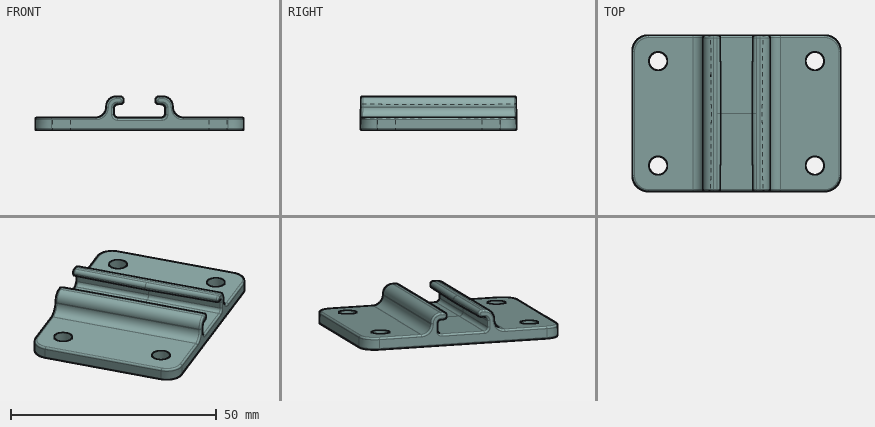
import cadquery as cq
import math

length = 50.8
width = 38.1
plate_thickness = 3.175
corner_radius = 4.0
draft_angle = 1.0
edge_round = 0.5

hole_diameter = 4.4
hole_spacing_x = 38.1
hole_spacing_y = 25.4

height = 8.3
hook_outer_half = 8.15
root_radius = 2.5
bend_radius = 2.5

channel_half = 6.18
channel_floor = plate_thickness
floor_radius = 0.95
underside_radius = 0.9
nose_half = 3.78
nose_thickness = 2.0
flare_angle = 0.5

half_width = width / 2
root_x = hook_outer_half + root_radius
draft_inset = height * math.tan(math.radians(draft_angle))
flare = half_width * math.tan(math.radians(flare_angle))
diagonal = math.sqrt(0.5)
tolerance = 1e-4


def make_blank():
    """Rounded block, drafted inward from the underside, that bounds the whole part."""
    outline = cq.Sketch().rect(length, width).vertices().fillet(corner_radius)
    return cq.Workplane("XY").placeSketch(outline).extrude(height, taper=draft_angle)


def make_outer_form():
    """Bar with the outer section of plate and hooks, before the channel is cut."""
    root_z = plate_thickness + root_radius
    bend_x = hook_outer_half - bend_radius
    bend_z = height - bend_radius
    half = (
        cq.Workplane("XZ", origin=(0, half_width, 0))
        .lineTo(length / 2, 0)
        .lineTo(length / 2, plate_thickness)
        .lineTo(root_x, plate_thickness)
        .threePointArc(
            (root_x - diagonal * root_radius, root_z - diagonal * root_radius),
            (hook_outer_half, root_z),
        )
        .lineTo(hook_outer_half, bend_z)
        .threePointArc(
            (bend_x + diagonal * bend_radius, bend_z + diagonal * bend_radius),
            (bend_x, height),
        )
        .lineTo(0, height)
        .close()
        .extrude(width)
    )
    return half.union(half.mirror("YZ"))


def channel_wire(y, growth):
    """Right half of the channel section at y, with every face moved outward by growth."""
    wall_x = channel_half + growth
    floor_z = channel_floor - growth
    underside_z = height - nose_thickness + growth
    nose_radius = (height - underside_z) / 2
    nose_tip_x = nose_half + growth
    nose_x = nose_tip_x + nose_radius
    nose_z = height - nose_radius
    under_x = wall_x - underside_radius
    under_z = underside_z - underside_radius
    corner_x = wall_x - floor_radius
    corner_z = floor_z + floor_radius
    section = (
        cq.Workplane("XZ", origin=(0, y, 0))
        .moveTo(0, floor_z)
        .lineTo(corner_x, floor_z)
        .threePointArc(
            (corner_x + diagonal * floor_radius, corner_z - diagonal * floor_radius),
            (wall_x, corner_z),
        )
        .lineTo(wall_x, under_z)
        .threePointArc(
            (under_x + diagonal * underside_radius, under_z + diagonal * underside_radius),
            (under_x, underside_z),
        )
        .lineTo(nose_x, underside_z)
        .threePointArc(
            (nose_x - diagonal * nose_radius, nose_z - diagonal * nose_radius),
            (nose_tip_x, nose_z),
        )
        .threePointArc(
            (nose_x - diagonal * nose_radius, nose_z + diagonal * nose_radius),
            (nose_x, height),
        )
        .lineTo(0, height)
        .close()
    )
    return section.val()


def make_channel():
    """Channel that opens from mid width towards both ends."""
    middle = channel_wire(0, 0)
    quarter = cq.Workplane(cq.Solid.makeLoft([middle, channel_wire(-half_width, flare)], True))
    front = quarter.union(quarter.mirror("YZ"))
    return front.union(front.mirror("XZ"))


def is_outer_edge(edge):
    """True for edges of the two ends, the underside and the plate's upper rim."""
    box = edge.BoundingBox()
    on_end = box.ylen < draft_inset and abs(box.center.y) > half_width - draft_inset
    on_underside = box.zmax < tolerance
    is_corner_seam = box.zmin < tolerance and box.zmax > tolerance
    on_plate_top = abs(box.zmin - plate_thickness) < tolerance and box.zlen < tolerance
    beside_rail = min(abs(box.xmin), abs(box.xmax)) > root_x + tolerance
    return not is_corner_seam and (on_end or on_underside or (on_plate_top and beside_rail))


def drill_holes(body):
    """Four plain through holes at the plate corners."""
    return (
        body.faces("<Z")
        .workplane(origin=(0, 0, 0))
        .rect(hole_spacing_x, hole_spacing_y, forConstruction=True)
        .vertices()
        .hole(hole_diameter)
    )


body = make_blank().intersect(make_outer_form()).cut(make_channel())
rounded = body.edges().filter(is_outer_edge).fillet(edge_round)
result = drill_holes(rounded)